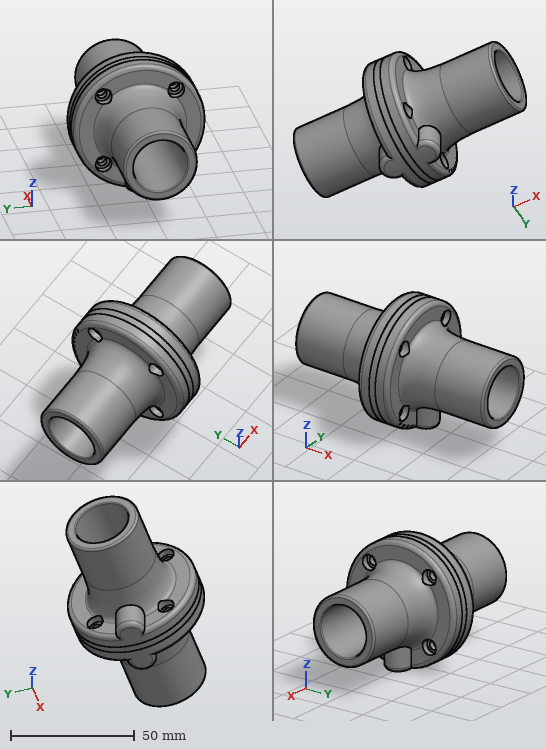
import cadquery as cq
import math

total_length = 91.5
flange_radius = 27.2
disc_thickness = 3.0
flange_thickness = 5.9
flange_edge_fillet = 2.0

tube_radius = 15.3
tube_end_fillet = 0.9
bore_mouth_radius = 11.3
bore_floor_radius = 10.8
bore_mouth_fillet = 0.5

flare_length = 15.0
flare_base_radius = 19.2

boss_radius = 6.0

screw_spacing = 30.0
screw_hole_radius = 2.0
counterbore_radius = 3.3
counterbore_depth = 3.0
passage_radius = 3.6

joint_x = disc_thickness / 2
flange_face_x = joint_x + flange_thickness
flare_end_x = flange_face_x + flare_length
tube_end_x = total_length / 2

boss_top_z = -(tube_radius + bore_mouth_radius) / 2


def axial_cylinder(radius, start_x, end_x):
    return cq.Workplane("YZ").workplane(offset=start_x).circle(radius).extrude(end_x - start_x)


def screw_cylinders(radius, start_x, end_x):
    return (
        cq.Workplane("YZ").workplane(offset=start_x)
        .rect(screw_spacing, screw_spacing, forConstruction=True).vertices()
        .circle(radius).extrude(end_x - start_x)
    )


def lies_on_outer_rim(edge):
    """True for an edge on the flange radius that keeps clear of the joint face."""
    points = edge.positions([0, 0.5, 1])
    return all(
        point.x > joint_x + flange_thickness / 2
        and math.isclose(math.hypot(point.y, point.z), flange_radius, abs_tol=0.001)
        for point in points
    )


def make_flange():
    """Flange and boss, with one fillet running along the edge of both."""
    flange = axial_cylinder(flange_radius, joint_x, flange_face_x)
    boss = (
        cq.Workplane("XY").workplane(offset=-flange_radius)
        .center(flange_face_x, 0).circle(boss_radius).extrude(flange_radius + boss_top_z)
    )
    boss_limit = axial_cylinder(flange_radius, joint_x, flange_face_x + boss_radius)
    body = flange.union(boss.intersect(boss_limit))
    rim_edges = [edge for edge in body.edges().vals() if lies_on_outer_rim(edge)]
    return body.newObject(rim_edges).fillet(flange_edge_fillet)


def make_tube():
    """Tube and flare as one turned profile, with a rounded outer end."""
    profile = (
        cq.Workplane("XY").moveTo(joint_x, 0)
        .lineTo(joint_x, flare_base_radius)
        .lineTo(flange_face_x, flare_base_radius)
        .ellipseArc(flare_length, flare_base_radius - tube_radius, 180, 270)
        .lineTo(tube_end_x, tube_radius)
        .lineTo(tube_end_x, 0)
        .close()
    )
    tube = profile.revolve(360, (0, 0, 0), (1, 0, 0))
    return tube.faces(">X").edges().fillet(tube_end_fillet)


def make_bore():
    """Space inside the tube, from the disc to the mouth."""
    return (
        cq.Workplane("XY").moveTo(joint_x, 0)
        .lineTo(joint_x, bore_floor_radius)
        .lineTo(tube_end_x, bore_mouth_radius)
        .lineTo(tube_end_x, 0)
        .close().revolve(360, (0, 0, 0), (1, 0, 0))
    )


def make_housing():
    """Housing half on the +X side of the disc."""
    body = make_flange().union(make_tube()).cut(make_bore())
    body = body.faces(">X").edges(cq.selectors.RadiusNthSelector(0)).fillet(bore_mouth_fillet)
    body = body.cut(screw_cylinders(screw_hole_radius, joint_x, flange_face_x))
    return body.cut(screw_cylinders(counterbore_radius, flange_face_x - counterbore_depth, flare_end_x))


def make_disc():
    """Plate clamped between the two housing halves."""
    disc = axial_cylinder(flange_radius, -joint_x, joint_x)
    disc = disc.cut(axial_cylinder(passage_radius, -joint_x, joint_x))
    return disc.cut(screw_cylinders(screw_hole_radius, -joint_x, joint_x))


disc = make_disc()
housings = [make_housing().rotate((0, 0, 0), (0, 0, 1), angle).val() for angle in (0, 180)]
result = cq.Compound.makeCompound([disc.val(), *housings])